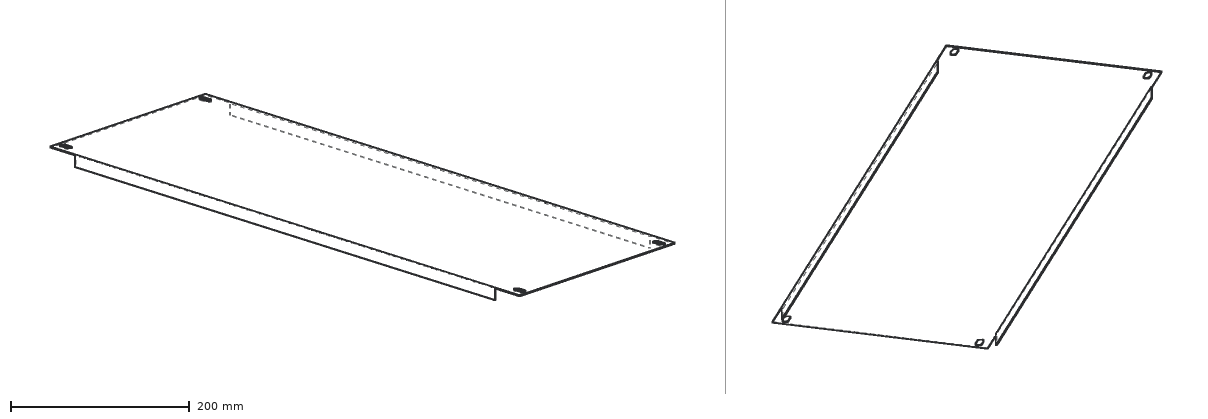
import cadquery as cq

panel_length = 730.0
panel_width = 250.0
panel_height = 15.0
sheet_thickness = 1.5

flange_length = 652.5

slot_length = 16.0
slot_width = 7.0
slot_spacing_x = 705.0
slot_spacing_y = 224.0


def make_panel():
    """Top sheet, with its upper face at Z = 0."""
    return cq.Workplane("XY").box(
        panel_length, panel_width, sheet_thickness, centered=(True, True, False)
    ).translate((0, 0, -sheet_thickness))


def make_flange(side):
    """Downward flange on the long edge at the given Y side (+1 or -1)."""
    center_y = side * (panel_width - sheet_thickness) / 2
    return cq.Workplane("XY").box(
        flange_length, sheet_thickness, panel_height, centered=(True, True, False)
    ).translate((0, center_y, -panel_height))


def make_slots():
    """Cutters for the four mounting slots, long along X."""
    return (
        cq.Workplane("XY")
        .rarray(slot_spacing_x, slot_spacing_y, 2, 2)
        .slot2D(slot_length, slot_width)
        .extrude(-sheet_thickness)
    )


result = make_panel()
for side in (-1, 1):
    result = result.union(make_flange(side))
result = result.cut(make_slots())